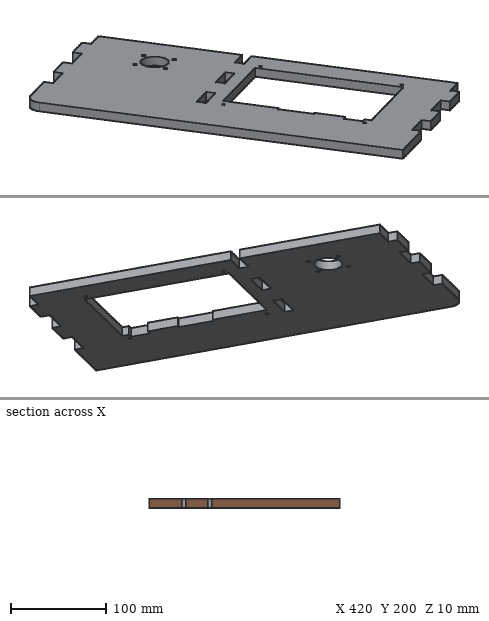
import cadquery as cq

length = 420.0
width = 200.0
thickness = 10.0
corner_radius = 15.0

tab_length = 30.0
tab_depth = thickness
first_gap_y = 57.5
gap_starts = [first_gap_y + 2 * i * tab_length for i in range(3)]

slot_width = 10.0
slot_center_x = 175.0

opening_diameter = 30.0
opening_center = (90.5, 150.0)
opening_screw_diameter = 4.0
opening_screw_spacing = (34.0, 27.5)

window_left = 195.5
window_right = 360.5
window_bottom = 69.5
window_top = 169.3
wide_relief_left = 257.0
wide_relief_right = 297.0
wide_relief_depth = 3.0
narrow_relief_left = 331.5
narrow_relief_right = 353.0
narrow_relief_depth = 5.5

window_screw_diameter = 3.0
window_screw_center = (277.5, 117.5)
window_screw_spacing = (157.0, 115.5)


def block(left, right, bottom, top):
    """Full-thickness box between the given X and Y limits."""
    return cq.Workplane("XY").box(
        right - left, top - bottom, thickness, centered=False
    ).translate((left, bottom, 0))


def hole_pattern(center, spacing, diameter):
    """Four through-hole cutters at the corners of a rectangle."""
    return (
        cq.Workplane("XY")
        .center(*center)
        .rect(*spacing, forConstruction=True)
        .vertices()
        .circle(diameter / 2)
        .extrude(thickness)
    )


result = block(0, length, 0, width).edges("|Z and <X and <Y").fillet(corner_radius)

for gap_start in gap_starts:
    gap_end = min(gap_start + tab_length, width)
    slot_left = slot_center_x - slot_width / 2
    result = result.cut(block(0, tab_depth, gap_start, gap_end))
    result = result.cut(block(length - tab_depth, length, gap_start, gap_end))
    result = result.cut(block(slot_left, slot_left + slot_width, gap_start, gap_end))

opening = cq.Workplane("XY").center(*opening_center).circle(opening_diameter / 2).extrude(thickness)
result = result.cut(opening)
result = result.cut(hole_pattern(opening_center, opening_screw_spacing, opening_screw_diameter))

window = block(window_left, window_right, window_bottom, window_top)
wide_relief = block(
    wide_relief_left, wide_relief_right, window_bottom - wide_relief_depth, window_top
)
narrow_relief = block(
    narrow_relief_left, narrow_relief_right, window_bottom - narrow_relief_depth, window_top
)
result = result.cut(window.union(wide_relief).union(narrow_relief))
result = result.cut(hole_pattern(window_screw_center, window_screw_spacing, window_screw_diameter))